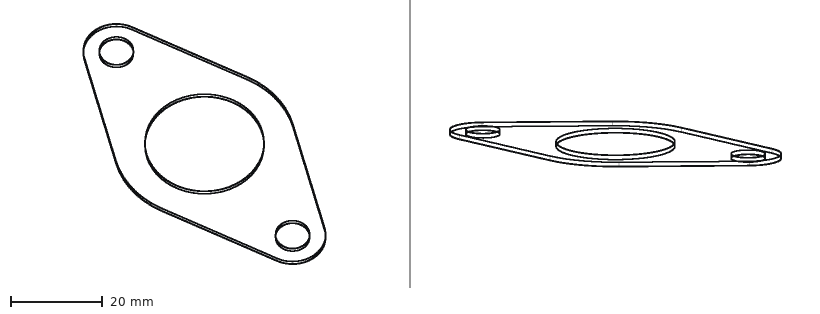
import cadquery as cq
import math

length = 77.0
width = 39.9
thickness = 1.0

bore_diameter = 26.0
bolt_hole_diameter = 7.5
end_radius = 7.2

middle_radius = width / 2
bolt_offset = length / 2 - end_radius

normal_angle = math.acos((middle_radius - end_radius) / bolt_offset)
normal_x = math.cos(normal_angle)
normal_y = math.sin(normal_angle)

middle_x = middle_radius * normal_x
middle_y = middle_radius * normal_y
end_x = bolt_offset + end_radius * normal_x
end_y = end_radius * normal_y


def gasket_plate():
    """Diamond plate with a large middle arc on each side and rounded ends."""
    return (
        cq.Workplane("XY")
        .moveTo(-middle_x, middle_y)
        .threePointArc((0, middle_radius), (middle_x, middle_y))
        .lineTo(end_x, end_y)
        .threePointArc((length / 2, 0), (end_x, -end_y))
        .lineTo(middle_x, -middle_y)
        .threePointArc((0, -middle_radius), (-middle_x, -middle_y))
        .lineTo(-end_x, -end_y)
        .threePointArc((-length / 2, 0), (-end_x, end_y))
        .close()
        .extrude(thickness)
    )


def through_holes():
    """Cutters for the central bore and the two bolt holes."""
    bore = cq.Workplane("XY").circle(bore_diameter / 2).extrude(thickness)
    bolt_holes = (
        cq.Workplane("XY")
        .pushPoints([(-bolt_offset, 0), (bolt_offset, 0)])
        .circle(bolt_hole_diameter / 2)
        .extrude(thickness)
    )
    return bore.union(bolt_holes)


result = gasket_plate().cut(through_holes())